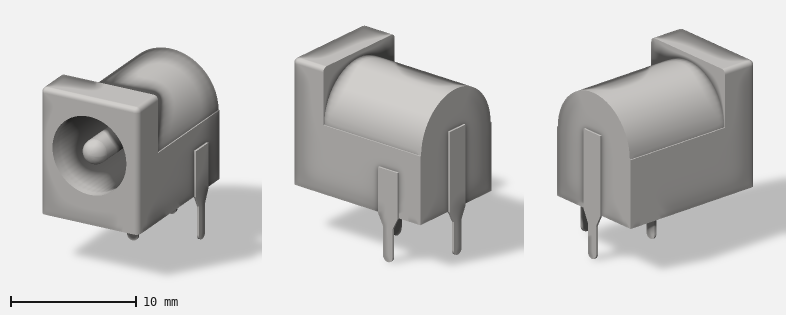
import cadquery as cq

body_width = 9.0
body_depth = 13.2
flange_depth = 3.2
flange_height = 11.0
edge_radius = 0.4
axis_height = 6.0
barrel_radius = 4.4

socket_diameter = 6.8
socket_depth = 9.0
pin_diameter = 2.1
pin_tip_radius = 1.0

sheet = 0.2
leg_width = 1.0
leg_length = 15.0 - flange_height
plate_width = 2 * leg_width
taper_length = 1.0
rear_plate_height = 7.0
side_plate_height = 4.0
side_terminal_y = body_depth - 3.2
middle_leg_y = body_depth - 6.0


def make_housing():
    """Filleted front flange with a round-topped barrel behind it."""
    flange = (
        cq.Workplane("XY")
        .box(body_width, flange_depth, flange_height, centered=(True, False, False))
        .edges("(<Y and (not <Z)) or (|Y and >Z)")
        .fillet(edge_radius)
    )
    rear_depth = body_depth - flange_depth
    base = (
        cq.Workplane("XY")
        .box(body_width, rear_depth, axis_height, centered=(True, False, False))
        .translate((0, flange_depth, 0))
    )
    barrel = (
        cq.Workplane("XZ", origin=(0, flange_depth, axis_height))
        .circle(barrel_radius)
        .extrude(-rear_depth)
    )
    return flange.union(base).union(barrel)


def cut_socket(housing):
    """Bore the blind socket and leave the round-tipped contact pin, flush with the front."""
    axis_plane = cq.Workplane("XZ", origin=(0, 0, axis_height))
    bore = axis_plane.circle(socket_diameter / 2).extrude(-socket_depth)
    pin = (
        axis_plane.circle(pin_diameter / 2)
        .extrude(-(socket_depth + sheet))
        .edges("<Y")
        .fillet(pin_tip_radius)
    )
    return housing.cut(bore).union(pin)


def make_leg(top):
    """Straight round-ended leg in the XZ plane, one sheet thick towards +Y."""
    half = leg_width / 2
    return (
        cq.Workplane("XZ")
        .moveTo(-half, top)
        .lineTo(-half, half - leg_length)
        .threePointArc((0, -leg_length), (half, half - leg_length))
        .lineTo(half, top)
        .close()
        .extrude(-sheet)
    )


def make_terminal(plate_height):
    """Wide plate tapering below the housing into a leg."""
    half_plate = plate_width / 2
    half_leg = leg_width / 2
    plate = (
        cq.Workplane("XZ")
        .polyline([
            (-half_plate, plate_height),
            (-half_plate, 0),
            (-half_leg, -taper_length),
            (half_leg, -taper_length),
            (half_plate, 0),
            (half_plate, plate_height),
        ])
        .close()
        .extrude(-sheet)
    )
    return plate.union(make_leg(0))


rear_terminal = make_terminal(rear_plate_height).translate((0, body_depth, 0))
side_terminal = (
    make_terminal(side_plate_height)
    .rotate((0, 0, 0), (0, 0, 1), -90)
    .translate((body_width / 2, side_terminal_y, 0))
)
middle_leg = make_leg(sheet).translate((0, middle_leg_y - sheet, 0))

result = (
    cut_socket(make_housing())
    .union(rear_terminal)
    .union(side_terminal)
    .union(middle_leg)
)